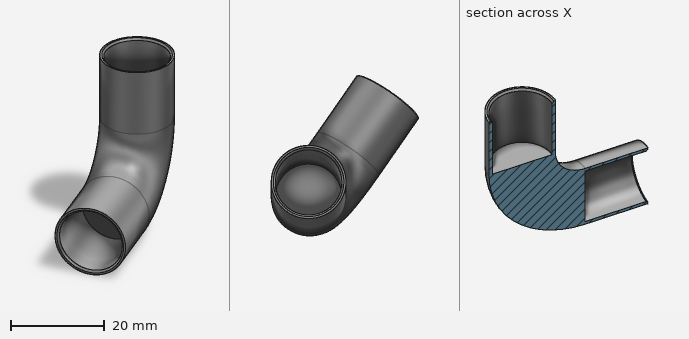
import cadquery as cq

overall_length = 38.0
outer_diameter = 16.0
bore_diameter = 14.2
mouth_diameter = 15.1

straight_length = 15.0
mouth_depth = 0.45

bend_angle = 90
outer_radius = outer_diameter / 2
bore_radius = bore_diameter / 2
mouth_radius = mouth_diameter / 2
bend_radius = overall_length - straight_length - outer_radius


def elbow_bend():
    """Solid quarter bend about the X axis, from the +Y side down to the -Z side."""
    axis_start = (0.38, -bend_radius, 0)
    axis_end = (-0.38, -bend_radius, 0)
    return (
        cq.Workplane("XY")
        .center(0, bend_radius)
        .circle(outer_radius)
        .revolve(bend_angle, axis_start, axis_end)
    )


def socket_cavity():
    """Blind bore along +Z, as deep as the straight end, with a cone at its mouth."""
    profile = [
        (0, 0),
        (bore_radius, 0),
        (bore_radius, straight_length - mouth_depth),
        (mouth_radius, straight_length),
        (0, straight_length),
    ]
    return cq.Workplane("XZ").polyline(profile).close().revolve(360, (0, 0, 0), (0, 1, 0))


def pipe_end():
    """Straight end along +Z, hollowed by its socket."""
    cylinder = cq.Workplane("XY").circle(outer_radius).extrude(straight_length)
    return cylinder.cut(socket_cavity())


upright_end = pipe_end().translate((0, bend_radius, 0))
level_end = pipe_end().rotate((0, 0, 0), (1, 0, 0), bend_angle).translate((0, 0, -bend_radius))

result = elbow_bend().union(upright_end).union(level_end)